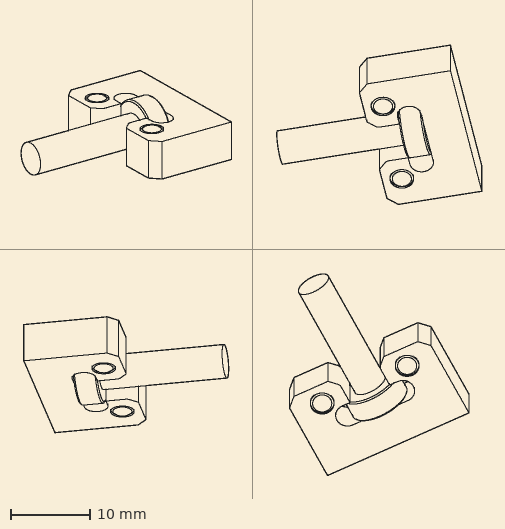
import cadquery as cq

OVERALL_LENGTH = 24.0

PLATE_WIDTH = 20.0
PLATE_DEPTH = 12.0
PLATE_THICKNESS = 5.18
SLOT_BACK_WALL = 5.05
SLOT_WIDTH = 3.0
SLOT_LENGTH = 10.8
THROAT_WIDTH = 5.6
OUTER_CHAMFER = 1.25
THROAT_CHAMFER = 1.15
THROAT_ROUND = 0.75

HEAD_DIAMETER = 7.7
HEAD_CHAMFER = 0.2
SHANK_DIAMETER = 4.3

PIN_DIAMETER = 3.0
PIN_CHAMFER = 0.3
PIN_SPACING = 12.0
PIN_SETBACK = 9.5

SLOT_CENTRE_Y = -(SLOT_BACK_WALL + SLOT_WIDTH / 2)
PIN_CENTRES = [(side * PIN_SPACING / 2, -PIN_SETBACK) for side in (-1, 1)]


def vertical_edge_at(x, y):
    """Select the vertical edge standing at a point of the plate outline."""
    reach = 0.02
    return cq.selectors.BoxSelector(
        (x - reach, y - reach, -PLATE_THICKNESS),
        (x + reach, y + reach, PLATE_THICKNESS),
    )


def make_plate():
    """Plate with a T-shaped opening for the bolt and two pin holes."""
    plate = cq.Workplane("XY").box(
        PLATE_WIDTH, PLATE_DEPTH, PLATE_THICKNESS, centered=(True, False, True)
    ).translate((0, -PLATE_DEPTH, 0))
    slot = (
        cq.Workplane("XY")
        .center(0, SLOT_CENTRE_Y)
        .slot2D(SLOT_LENGTH, SLOT_WIDTH)
        .extrude(PLATE_THICKNESS / 2, both=True)
    )
    throat_length = PLATE_DEPTH + SLOT_CENTRE_Y
    throat = cq.Workplane("XY").box(
        THROAT_WIDTH, throat_length, PLATE_THICKNESS, centered=(True, False, True)
    ).translate((0, -PLATE_DEPTH, 0))
    plate = plate.cut(slot).cut(throat)

    for side in (-1, 1):
        outer_corner = vertical_edge_at(side * PLATE_WIDTH / 2, -PLATE_DEPTH)
        throat_corner = vertical_edge_at(side * THROAT_WIDTH / 2, -PLATE_DEPTH)
        plate = plate.edges(outer_corner).chamfer(OUTER_CHAMFER)
        plate = plate.edges(throat_corner).chamfer(THROAT_CHAMFER)
        shoulder = vertical_edge_at(side * THROAT_WIDTH / 2, THROAT_CHAMFER - PLATE_DEPTH)
        plate = plate.edges(shoulder).fillet(THROAT_ROUND)

    pin_holes = (
        cq.Workplane("XY")
        .pushPoints(PIN_CENTRES)
        .circle(PIN_DIAMETER / 2)
        .extrude(PLATE_THICKNESS / 2, both=True)
    )
    return plate.cut(pin_holes)


def make_bolt():
    """Bolt whose round head fills the slot width and whose shank leaves by the throat."""
    head = (
        cq.Workplane("XZ", origin=(0, -SLOT_BACK_WALL, 0))
        .circle(HEAD_DIAMETER / 2)
        .extrude(SLOT_WIDTH)
        .edges()
        .chamfer(HEAD_CHAMFER)
    )
    shank = (
        cq.Workplane("XZ", origin=(0, SLOT_CENTRE_Y, 0))
        .circle(SHANK_DIAMETER / 2)
        .extrude(OVERALL_LENGTH + SLOT_CENTRE_Y)
    )
    return head.union(shank)


def make_pin(x, y):
    """Pin flush with both plate faces, chamfered at both ends."""
    return (
        cq.Workplane("XY", origin=(x, y, -PLATE_THICKNESS / 2))
        .circle(PIN_DIAMETER / 2)
        .extrude(PLATE_THICKNESS)
        .faces("<Z or >Z")
        .edges()
        .chamfer(PIN_CHAMFER)
    )


plate = make_plate()
bolt = make_bolt()
pins = [make_pin(x, y) for x, y in PIN_CENTRES]

result = cq.Compound.makeCompound([plate.val(), bolt.val(), *[pin.val() for pin in pins]])